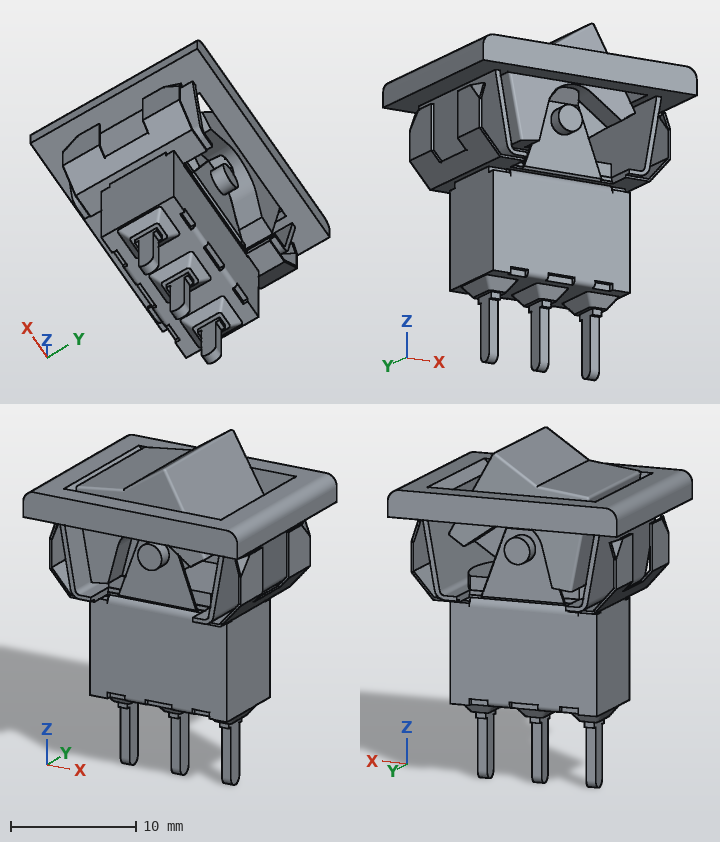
import cadquery as cq
import math


body_x, body_y, body_h = 12.7, 6.86, 8.85
mid_half_x = 4.72
lip_radius = 0.75
wing_z, wing_half_y = 8.36, 2.66
edge_notch_h, edge_notch_depth = 0.53, 0.43
bead_edge_r = 0.42
bead_inner_x, bead_outer_x = 1.22, 3.12

terminal_pitch = 4.7
terminal_t = 0.84
shoulder_w, shoulder_bottom_z = 2.07, -1.52
blade_w, blade_bottom_z = 1.36, -6.6
boot_x, boot_y, boot_h = 3.0, 4.15, 0.99
boot_corner_r, boot_taper = 0.3, 36

bezel_x, bezel_y = 19.85, 15.8
bezel_bottom_z, bezel_top_z = 15.87, 18.15
bezel_edge_r = 1.0
opening_x, opening_y = 14.56, 11.88
ledge = 0.8

clip_t = 0.2
clip_bottom_z = body_h
clip_half_y = 5.51
clip_base_half_x, clip_leg_half_x = 6.95, 8.87
clip_elbow_z, clip_top_z = 11.0, 14.9
clip_slot_half_y, clip_slot_z = 2.06, 10.12
corner_fold_y, corner_fold_z, corner_fold_in = 1.43, 1.45, 0.45

frame_bottom_z = clip_bottom_z + clip_t
frame_half_y = 6.04
arm_t = 0.44
foot_t = 0.36
arm_knee_z = 15.63
arm_top_half_x = 7.68
arm_foot_half_x = 6.49
arm_bend_r = 0.9
block_half_x, block_top_z = 5.74, 10.55
step_back = 0.1

ear_outer_y = 3.6
ear_base_half_x, ear_top_half_x = 3.67, 1.44
ear_bend_z, ear_tip_z = 14.82, 15.85
ear_tip_half_x = 0.9

pivot_z = 13.29
pivot_d = 2.2
pin_proud = 1.2
rocker_tilt = 20
top_half_x, top_edge_h = 4.42, 7.0
bottom_half_x, bottom_edge_h = 5.68, -0.9
face_slope = math.tan(math.radians(13.2))
rocker_top_half_y, rocker_bottom_half_y = 5.5, 5.63
rocker_edge_r = 0.22
relief_r = 2.6
relief_angle = 35
relief_clearance = 0.02
joint = 0.1


def span_box(x0, x1, y0, y1, z0, z1):
    return cq.Workplane("XY").box(x1 - x0, y1 - y0, z1 - z0, centered=False).translate((x0, y0, z0))


def centered_box(half_x, half_y, z0, z1):
    return span_box(-half_x, half_x, -half_y, half_y, z0, z1)


def prism_along_y(points, y0, y1):
    """Extrude an (x, z) outline from y0 to y1."""
    return cq.Workplane("XZ", origin=(0, y1, 0)).polyline(points).close().extrude(y1 - y0)


def prism_along_x(points, x0, x1):
    """Extrude a (y, z) outline from x0 to x1."""
    return cq.Workplane("YZ", origin=(x0, 0, 0)).polyline(points).close().extrude(x1 - x0)


def with_mirror(solid, plane):
    return solid.union(solid.mirror(plane))


def make_body():
    half_x, half_y = body_x / 2, body_y / 2
    middle = centered_box(mid_half_x, half_y, 0, body_h)
    middle = middle.edges("|X and >Z").fillet(lip_radius)
    wing = span_box(mid_half_x, half_x, -half_y, half_y, 0, wing_z)
    wing = wing.union(span_box(mid_half_x, half_x, -wing_half_y, wing_half_y, wing_z, body_h))
    body = middle.union(with_mirror(wing, "YZ"))
    wall_y = half_y - edge_notch_depth
    notch = span_box(-mid_half_x, mid_half_x, wall_y, half_y, 0, edge_notch_h)
    bead = span_box(bead_inner_x, bead_outer_x, wall_y, half_y, 0, edge_notch_h)
    bead = bead.edges("|X and >Y and <Z").fillet(bead_edge_r)
    beads = with_mirror(bead, "YZ")
    return body.cut(with_mirror(notch, "XZ")).union(with_mirror(beads, "XZ"))


def make_terminal():
    boot = cq.Workplane("XY").rect(boot_x, boot_y).extrude(-boot_h, taper=boot_taper)
    slanted_edges = "not(#Z or |X or |Y)"
    boot = boot.edges(slanted_edges).fillet(boot_corner_r)
    half_t = terminal_t / 2
    shoulder = centered_box(half_t, shoulder_w / 2, shoulder_bottom_z, joint)
    round_z = blade_bottom_z + blade_w / 2
    blade = centered_box(half_t, blade_w / 2, round_z, 0)
    tip = cq.Workplane("YZ", origin=(-half_t, 0, round_z)).circle(blade_w / 2).extrude(terminal_t)
    return boot.union(shoulder).union(blade).union(tip)


def make_bezel():
    bezel = centered_box(bezel_x / 2, bezel_y / 2, bezel_bottom_z, bezel_top_z)
    bezel = bezel.edges("|Y and >Z").fillet(bezel_edge_r)
    throat_half_x = opening_x / 2 - ledge
    opening = prism_along_y([
        (-throat_half_x, bezel_bottom_z),
        (throat_half_x, bezel_bottom_z),
        (throat_half_x, bezel_top_z - ledge),
        (opening_x / 2, bezel_top_z),
        (-opening_x / 2, bezel_top_z),
        (-throat_half_x, bezel_top_z - ledge),
    ], -opening_y / 2, opening_y / 2)
    return bezel.cut(opening)


def make_frame():
    """Two bent arms with feet, joined by the plate and block on top of the body."""
    foot_z = frame_bottom_z + foot_t
    knee_drop = arm_knee_z - frame_bottom_z
    lean = (arm_top_half_x - arm_foot_half_x) / knee_drop
    arm = prism_along_y([
        (mid_half_x, frame_bottom_z),
        (arm_foot_half_x, frame_bottom_z),
        (arm_top_half_x, arm_knee_z),
        (arm_top_half_x, bezel_bottom_z + joint),
        (arm_top_half_x - arm_t, bezel_bottom_z + joint),
        (arm_top_half_x - arm_t, arm_knee_z),
        (arm_foot_half_x - arm_t + lean * foot_t, foot_z),
        (mid_half_x, foot_z),
    ], -frame_half_y, frame_half_y)
    outer_bend = cq.selectors.NearestToPointSelector((arm_foot_half_x, 0, frame_bottom_z))
    arm = arm.edges(outer_bend).fillet(arm_bend_r)
    inner_bend = cq.selectors.NearestToPointSelector((arm_foot_half_x - arm_t, 0, foot_z))
    arm = arm.edges(inner_bend).fillet(arm_bend_r - arm_t)
    plate_half_y = ear_outer_y - clip_t - step_back
    plate = centered_box(block_half_x, plate_half_y, frame_bottom_z, foot_z)
    block_half_y = plate_half_y - step_back
    block = cq.Workplane("XY", origin=(0, 0, foot_z - joint)).moveTo(-mid_half_x, -block_half_y)
    block = block.lineTo(mid_half_x, -block_half_y)
    block = block.threePointArc((block_half_x, 0), (mid_half_x, block_half_y))
    block = block.lineTo(-mid_half_x, block_half_y)
    block = block.threePointArc((-block_half_x, 0), (-mid_half_x, -block_half_y))
    block = block.close().extrude(block_top_z - foot_z + joint)
    return with_mirror(arm, "YZ").union(plate).union(block)


def make_clip_leg():
    """The +X spring leg, with a central slot and two folded corners."""
    slant = math.atan2(clip_elbow_z - clip_bottom_z, clip_leg_half_x - clip_base_half_x)
    base_miter = clip_t * math.tan(slant / 2)
    elbow_miter = clip_t * math.tan((math.pi / 2 - slant) / 2)
    leg = prism_along_y([
        (mid_half_x, clip_bottom_z),
        (clip_base_half_x, clip_bottom_z),
        (clip_leg_half_x, clip_elbow_z),
        (clip_leg_half_x, clip_top_z),
        (clip_leg_half_x - clip_t, clip_top_z),
        (clip_leg_half_x - clip_t, clip_elbow_z + elbow_miter),
        (clip_base_half_x - base_miter, clip_bottom_z + clip_t),
        (mid_half_x, clip_bottom_z + clip_t),
    ], -clip_half_y, clip_half_y)
    slot = span_box(mid_half_x, clip_leg_half_x, -clip_slot_half_y, clip_slot_half_y, clip_slot_z, clip_top_z)
    leg = leg.cut(slot)
    fold_y = clip_half_y - corner_fold_y
    fold_z = clip_top_z - corner_fold_z
    corner = [(fold_y, clip_top_z), (clip_half_y, clip_top_z), (clip_half_y, fold_z)]
    trim = prism_along_x(corner, clip_leg_half_x - clip_t, clip_leg_half_x)
    leg = leg.cut(with_mirror(trim, "XZ"))
    flap = prism_along_x(corner, clip_leg_half_x - clip_t, clip_leg_half_x)
    fold_length = math.hypot(corner_fold_y, corner_fold_z)
    fold_reach = corner_fold_y * corner_fold_z / fold_length
    fold_angle = math.degrees(math.asin(corner_fold_in / fold_reach))
    hinge_x = clip_leg_half_x
    flap = flap.rotate((hinge_x, fold_y, clip_top_z), (hinge_x, clip_half_y, fold_z), -fold_angle)
    return leg.union(with_mirror(flap, "XZ"))


def make_ear():
    """The -Y pivot ear: a tapered upright whose tip flares outward."""
    inner_y = ear_outer_y - clip_t
    flare = ear_tip_z - ear_bend_z
    side = prism_along_x([
        (-inner_y, clip_bottom_z),
        (-ear_outer_y, clip_bottom_z + clip_t),
        (-ear_outer_y, ear_bend_z),
        (-ear_outer_y - flare, ear_tip_z),
        (-inner_y - flare, ear_tip_z),
        (-inner_y, ear_bend_z),
    ], -ear_base_half_x, ear_base_half_x)
    face = prism_along_y([
        (-ear_base_half_x, clip_bottom_z),
        (ear_base_half_x, clip_bottom_z),
        (ear_top_half_x, ear_bend_z),
        (ear_tip_half_x, ear_tip_z),
        (-ear_tip_half_x, ear_tip_z),
        (-ear_top_half_x, ear_bend_z),
    ], -clip_half_y, 0)
    return side.intersect(face)


def make_clip():
    base = centered_box(mid_half_x, ear_outer_y - clip_t, clip_bottom_z, clip_bottom_z + clip_t)
    legs = with_mirror(make_clip_leg(), "YZ")
    return base.union(legs).union(with_mirror(make_ear(), "XZ"))


def make_relief(depth_y, reach):
    """Pocket that lets one side of the rocker clear its pivot ear (-Y side)."""
    angle = math.radians(relief_angle)
    tangent_x, tangent_z = relief_r * math.cos(angle), relief_r * math.sin(angle)
    foot_x, foot_z = tangent_x + reach * math.sin(angle), tangent_z - reach * math.cos(angle)
    outline = cq.Workplane("XZ", origin=(0, -depth_y, 0))
    outline = outline.moveTo(-foot_x, foot_z).lineTo(-tangent_x, tangent_z)
    outline = outline.threePointArc((0, relief_r), (tangent_x, tangent_z)).lineTo(foot_x, foot_z)
    return outline.close().extrude(rocker_bottom_half_y)


def make_rocker():
    valley_h = top_edge_h - top_half_x * face_slope
    keel_h = bottom_edge_h - bottom_half_x * face_slope
    rocker = prism_along_y([
        (-bottom_half_x, bottom_edge_h),
        (0, keel_h),
        (bottom_half_x, bottom_edge_h),
        (top_half_x, top_edge_h),
        (0, valley_h),
        (-top_half_x, top_edge_h),
    ], -rocker_bottom_half_y, rocker_bottom_half_y)
    rocker = rocker.intersect(prism_along_x([
        (-rocker_bottom_half_y, keel_h),
        (rocker_bottom_half_y, keel_h),
        (rocker_top_half_y, top_edge_h),
        (-rocker_top_half_y, top_edge_h),
    ], -bottom_half_x, bottom_half_x))
    above_rim = cq.selectors.BoxSelector(
        (-bottom_half_x, -rocker_bottom_half_y, bottom_edge_h + joint),
        (bottom_half_x, rocker_bottom_half_y, top_edge_h + joint))
    valley = cq.selectors.NearestToPointSelector((0, 0, valley_h))
    rocker = rocker.edges(above_rim - valley).fillet(rocker_edge_r)
    relief = make_relief(ear_outer_y - clip_t - relief_clearance, bottom_half_x)
    rocker = rocker.cut(with_mirror(relief, "XZ"))
    pin_half_y = ear_outer_y + pin_proud
    pin = cq.Workplane("XZ", origin=(0, pin_half_y, 0)).circle(pivot_d / 2).extrude(2 * pin_half_y)
    rocker = rocker.union(pin)
    return rocker.rotate((0, 0, 0), (0, 1, 0), -rocker_tilt).translate((0, 0, pivot_z))


result = make_body()
for index in (-1, 0, 1):
    result = result.union(make_terminal().translate((index * terminal_pitch, 0, 0)))
result = result.union(make_clip()).union(make_frame()).union(make_bezel()).union(make_rocker())